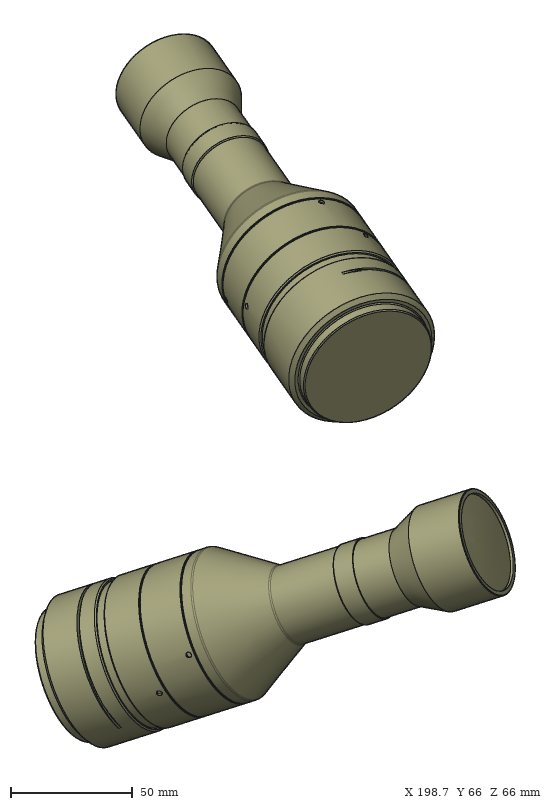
import math

import cadquery as cq

FULL_TURN = 360.0

TOTAL_LENGTH = 198.71
BARREL_RADIUS = 33.0

EYEPIECE_RADIUS = 23.0
EYEPIECE_LENGTH = 24.1
EYEPIECE_CONE_END = 36.9
EYEPIECE_RIM_CHAMFER = 0.3

LENS_RADIUS = 21.0
LENS_SETBACK = 1.3
LENS_BULGE = 1.0
LENS_FACE_RADIUS = (LENS_RADIUS**2 + LENS_BULGE**2) / (2 * LENS_BULGE)

NECK_RADIUS = 17.0
BAND_RADIUS = 17.5
BAND_START = 54.0
BAND_END = 63.5
BAND_CHAMFER = 0.5

CONE_START = 93.8
CONE_ANGLE = 30.0
CONE_END = CONE_START + (BARREL_RADIUS - NECK_RADIUS) / math.tan(math.radians(CONE_ANGLE))
CONE_BLEND_RADIUS = 1.5

WIDE_GROOVE_START = 163.0
WIDE_GROOVE_END = 167.9
WIDE_GROOVE_RADIUS = 31.8
WIDE_GROOVE_CHAMFER = 0.6

NOSE_START = 194.0
NOSE_RADIUS = 29.0
NOSE_CHAMFER = 0.5
NOSE_ROOT_BEVEL = 0.5
BARREL_CHAMFER_LENGTH = 1.7
BARREL_CHAMFER_DEPTH = 2.0

JOINT_CENTERS = (126.8, 146.5)
JOINT_WIDTH = 0.6
JOINT_DEPTH = 0.3

HOLES_PER_RING = 3
HOLE_DIAMETER = 2.4
HOLE_DEPTH = 1.0
HOLE_RINGS = ((129.6, 71.1), (149.8, 49.5))

SLOT_CENTER = 175.6
SLOT_WIDTH = 1.2
SLOT_DEPTH = 2.0

CUT_MARGIN = 1.0


def make_body():
    """Turned body: eyepiece, neck, cone, barrel and nose."""
    profile = (
        cq.Workplane("XY")
        .polyline([
            (0, 0),
            (0, EYEPIECE_RADIUS - EYEPIECE_RIM_CHAMFER),
            (EYEPIECE_RIM_CHAMFER, EYEPIECE_RADIUS),
            (EYEPIECE_LENGTH, EYEPIECE_RADIUS),
            (EYEPIECE_CONE_END, NECK_RADIUS),
            (BAND_START, NECK_RADIUS),
            (BAND_START, BAND_RADIUS),
            (BAND_END - BAND_CHAMFER, BAND_RADIUS),
            (BAND_END, NECK_RADIUS),
            (CONE_START, NECK_RADIUS),
            (CONE_END, BARREL_RADIUS),
            (WIDE_GROOVE_START, BARREL_RADIUS),
            (WIDE_GROOVE_START + WIDE_GROOVE_CHAMFER, BARREL_RADIUS - WIDE_GROOVE_CHAMFER),
            (WIDE_GROOVE_START + WIDE_GROOVE_CHAMFER, WIDE_GROOVE_RADIUS),
            (WIDE_GROOVE_END - WIDE_GROOVE_CHAMFER, WIDE_GROOVE_RADIUS),
            (WIDE_GROOVE_END - WIDE_GROOVE_CHAMFER, BARREL_RADIUS - WIDE_GROOVE_CHAMFER),
            (WIDE_GROOVE_END, BARREL_RADIUS),
            (NOSE_START - BARREL_CHAMFER_LENGTH, BARREL_RADIUS),
            (NOSE_START, BARREL_RADIUS - BARREL_CHAMFER_DEPTH),
            (NOSE_START, NOSE_RADIUS + NOSE_ROOT_BEVEL),
            (NOSE_START + NOSE_ROOT_BEVEL, NOSE_RADIUS),
            (TOTAL_LENGTH - NOSE_CHAMFER, NOSE_RADIUS),
            (TOTAL_LENGTH, NOSE_RADIUS - NOSE_CHAMFER),
            (TOTAL_LENGTH, 0),
        ])
        .close()
    )
    body = profile.revolve(FULL_TURN, (0, 0, 0), (1, 0, 0))
    for x, radius in ((CONE_START, NECK_RADIUS), (CONE_END, BARREL_RADIUS)):
        corner = cq.selectors.BoxSelector(
            (x - CUT_MARGIN, -radius - CUT_MARGIN, -radius - CUT_MARGIN),
            (x + CUT_MARGIN, radius + CUT_MARGIN, radius + CUT_MARGIN),
            boundingbox=True,
        )
        body = body.edges(corner).edges("%CIRCLE").fillet(CONE_BLEND_RADIUS)
    return body


def make_lens_recess():
    """Recess in the eyepiece end; its floor is the bulging lens face."""
    return (
        cq.Workplane("XY")
        .moveTo(0, 0)
        .lineTo(0, LENS_RADIUS)
        .lineTo(LENS_SETBACK, LENS_RADIUS)
        .radiusArc((LENS_SETBACK - LENS_BULGE, 0), -LENS_FACE_RADIUS)
        .close()
        .revolve(FULL_TURN, (0, 0, 0), (1, 0, 0))
    )


def make_joint(center):
    """Shallow groove all the way around the barrel."""
    return (
        cq.Workplane("YZ", origin=(center - JOINT_WIDTH / 2, 0, 0))
        .circle(BARREL_RADIUS + CUT_MARGIN)
        .circle(BARREL_RADIUS - JOINT_DEPTH)
        .extrude(JOINT_WIDTH)
    )


def make_screw_hole(x, angle):
    """Blind radial hole in the barrel."""
    return (
        cq.Workplane("XZ", origin=(x, 0, 0))
        .circle(HOLE_DIAMETER / 2)
        .extrude(-HOLE_DEPTH - CUT_MARGIN)
        .translate((0, BARREL_RADIUS - HOLE_DEPTH, 0))
        .rotate((0, 0, 0), (1, 0, 0), angle)
    )


def make_slot():
    """Slice of the barrel left outside a disc of barrel radius that is shifted toward -Y."""
    slice_plane = cq.Workplane("YZ", origin=(SLOT_CENTER - SLOT_WIDTH / 2, 0, 0))
    barrel_slice = slice_plane.circle(BARREL_RADIUS).extrude(SLOT_WIDTH)
    kept_disc = slice_plane.center(-SLOT_DEPTH, 0).circle(BARREL_RADIUS).extrude(SLOT_WIDTH)
    return barrel_slice.cut(kept_disc)


result = make_body().cut(make_lens_recess()).cut(make_slot())
for joint_center in JOINT_CENTERS:
    result = result.cut(make_joint(joint_center))
for hole_x, first_angle in HOLE_RINGS:
    for index in range(HOLES_PER_RING):
        result = result.cut(make_screw_hole(hole_x, first_angle + index * FULL_TURN / HOLES_PER_RING))